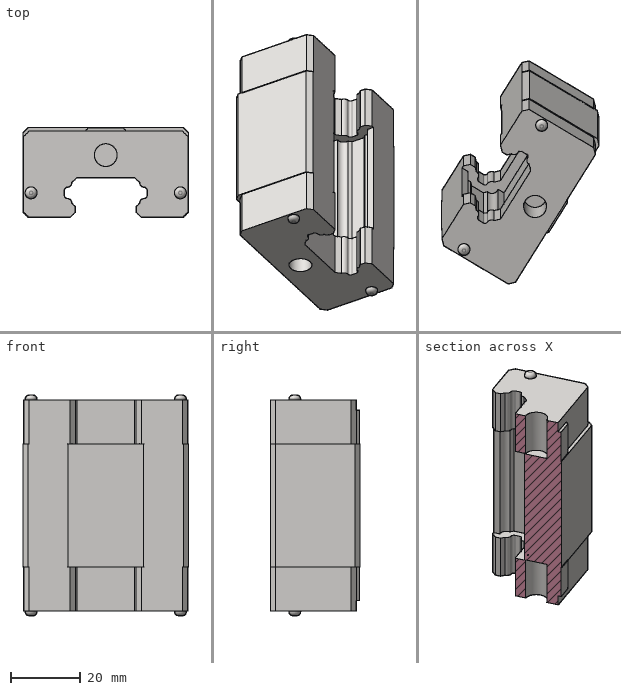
import cadquery as cq
import math


overall_length = 63.9
screw_head_height = 1.4
cap_half_length = overall_length / 2 - screw_head_height

block_width = 48.0
block_height = 26.0
block_length = 35.6
corner_chamfer = 1.55

cap_inset = 0.25
cap_width = block_width - 2 * cap_inset
cap_height = 24.9
cap_length = cap_half_length - block_length / 2

rail_axis_y = 7.1

block_mouth_half = 11.0
block_waist_half = 14.05
block_waist_half_height = 2.0
block_flank_drop = block_waist_half - block_mouth_half
block_channel_depth = 14.2

groove_radius = 1.8
groove_width = 3.05

cap_mouth_half = 8.8
cap_mouth_chamfer = 1.5
cap_roof_half = 8.4
cap_channel_depth = 11.45

lip_start = (9.8, 3.0)
lip_crest = (10.1, 2.1)
lip_end = (11.05, 1.6)
hollow_middle = (11.75, 1.3)
hollow_end = (11.95, 0.75)

oil_hole_diameter = 6.6
oil_hole_y = 18.0

strip_length = 55.1
strip_top_width = 10.2
strip_top_y = 25.8

screw_x = 21.6
screw_head_radius = 1.7
screw_head_rounding = 1.2


def prism(outline, length):
    """Extrude an XY outline by the given length, centred on Z = 0."""
    return outline.extrude(length / 2, both=True)


def chamfered_bar(width, height, length):
    """Rectangular bar standing on Y = 0 with its four long edges chamfered."""
    outline = cq.Workplane("XY").center(0, height / 2).rect(width, height)
    return prism(outline, length).edges("|Z").chamfer(corner_chamfer)


def mirrored(points):
    """Add the -X half to a list of +X outline points."""
    return points + [(-x, y) for x, y in reversed(points)]


def block_channel():
    """Channel of the middle block with a ball groove in each sloping flank."""
    waist_low = rail_axis_y - block_waist_half_height
    waist_high = rail_axis_y + block_waist_half_height
    half = [
        (block_mouth_half, 0),
        (block_mouth_half, waist_low - block_flank_drop),
        (block_waist_half, waist_low),
        (block_waist_half, waist_high),
        (block_mouth_half, waist_high + block_flank_drop),
        (block_mouth_half, block_channel_depth),
    ]
    channel = prism(cq.Workplane("XY").polyline(mirrored(half)).close(), block_length)

    standoff = math.sqrt(groove_radius**2 - (groove_width / 2) ** 2)
    diagonal = math.sqrt(2)
    groove_x = block_mouth_half + (groove_width / 2 - standoff) / diagonal
    groove_offset = block_waist_half_height + block_flank_drop - (groove_width / 2 + standoff) / diagonal
    centres = [(sx * groove_x, rail_axis_y + sy * groove_offset) for sx in (-1, 1) for sy in (-1, 1)]
    grooves = prism(cq.Workplane("XY").pushPoints(centres).circle(groove_radius), block_length)
    return channel.union(grooves)


def cap_channel():
    """Channel of the caps with rounded lips that reach into the rail grooves."""

    def below(point):
        return (point[0], rail_axis_y - point[1])

    def above(point):
        return (point[0], rail_axis_y + point[1])

    neck_y = rail_axis_y - lip_start[1] - (lip_start[0] - cap_mouth_half)
    half = (
        cq.Workplane("XY")
        .moveTo(0, 0)
        .lineTo(cap_mouth_half + cap_mouth_chamfer, 0)
        .lineTo(cap_mouth_half, cap_mouth_chamfer)
        .lineTo(cap_mouth_half, neck_y)
        .lineTo(*below(lip_start))
        .threePointArc(below(lip_crest), below(lip_end))
        .threePointArc(below(hollow_middle), below(hollow_end))
        .lineTo(*above(hollow_end))
        .threePointArc(above(hollow_middle), above(lip_end))
        .threePointArc(above(lip_crest), above(lip_start))
        .lineTo(cap_roof_half, cap_channel_depth)
        .lineTo(0, cap_channel_depth)
        .close()
    )
    right_half = prism(half, 2 * cap_half_length)
    return right_half.union(right_half.mirror("YZ"))


def back_strip():
    """Strip with sides bevelled at 45 degrees, standing on the back faces of the caps."""
    top_half = strip_top_width / 2
    base_half = top_half + strip_top_y - cap_height
    half = [(base_half, cap_height), (top_half, strip_top_y)]
    return prism(cq.Workplane("XY").polyline(mirrored(half)).close(), strip_length)


def upper_oil_hole():
    """Round hole through the upper cap, ending at the block."""
    hole = cq.Workplane("XY", origin=(0, oil_hole_y, block_length / 2))
    return hole.circle(oil_hole_diameter / 2).extrude(cap_length)


def upper_screw_heads():
    """Pair of button heads on the upper cap."""
    heads = cq.Workplane("XY", origin=(0, rail_axis_y, cap_half_length))
    heads = heads.pushPoints([(-screw_x, 0), (screw_x, 0)])
    heads = heads.circle(screw_head_radius).extrude(screw_head_height)
    return heads.faces(">Z").edges().fillet(screw_head_rounding)


def with_lower_copy(upper):
    """The given feature together with its mirror image at the -Z end."""
    return upper.union(upper.mirror("XY"))


block = chamfered_bar(block_width, block_height, block_length).cut(block_channel())

caps = chamfered_bar(cap_width, cap_height, 2 * cap_half_length).union(back_strip())
caps = caps.cut(cap_channel())
caps = caps.cut(with_lower_copy(upper_oil_hole()))

block_outline = cq.Workplane("XY").center(0, block_height / 2).rect(block_width, block_height)
caps = caps.cut(prism(block_outline, block_length))

result = block.union(caps).union(with_lower_copy(upper_screw_heads()))